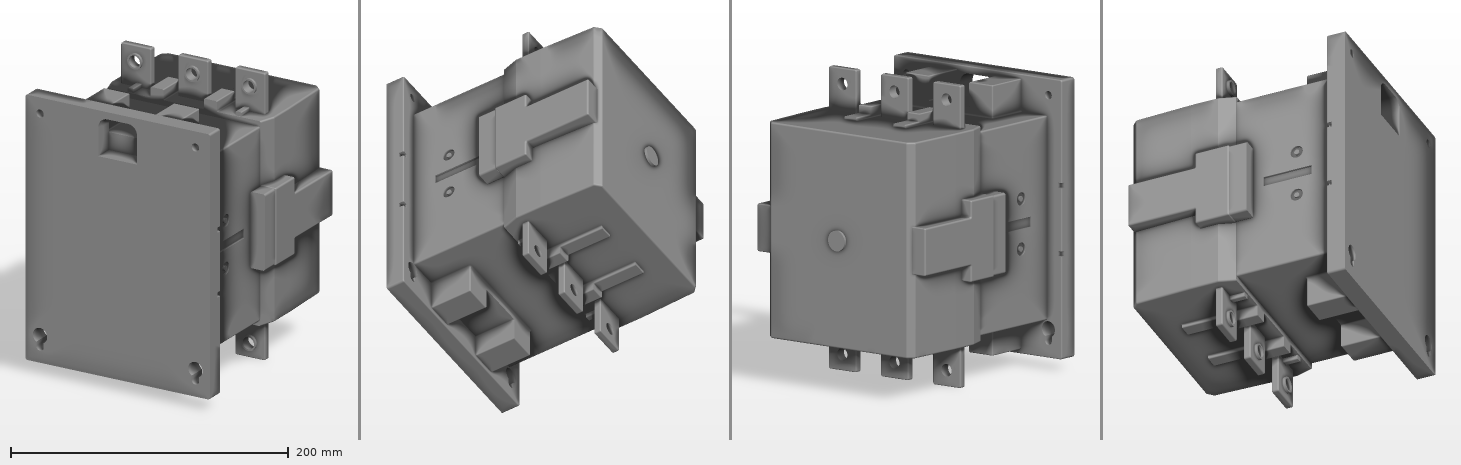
import cadquery as cq

EDGE_R = 1.66
MEDIUM_R = 1.3
SMALL_R = 0.9

FLAT = 0.2
MARGIN = 1.0

PLATE_W = 155.0
PLATE_H = 205.1
PLATE_T = 14.7
HOLE_X = 65.3
HOLE_R = 3.0
TOP_HOLE_Z = 90.1
KEYHOLE_Z = -81.7
KEYHOLE_R = 6.0
WINDOW_W = 32.5
WINDOW_BOTTOM = 67.0
WINDOW_TOP = 97.0
WINDOW_R = 7.5
NOTCH_SIZE = 4.0
NOTCH_Z = 25.0

PARTING_Y = 92.4
LOWER_W = 128.0
LOWER_H = 150.0
COIL_TOP = 99.2
COIL_SADDLE_TOP = 80.8
COIL_FRONT = 47.7
COIL_W = 80.4
COIL_GAP = 37.3
SCREW_Y = 44.6
SCREW_Z = 18.5
SCREW_OUTER_R = 4.9
SCREW_INNER_R = 2.0
SLOT_L = 38.2
SLOT_H = 7.5
SLOT_Y = 52.0
RECESS_DEPTH = 1.8

FRONT_Y = 175.2
UPPER_H = 158.5
UPPER_TOP = UPPER_H / 2
HALF_W_PARTING = 64.5
HALF_W_MAX = 68.5
HALF_W_FRONT = 66.8
TAPER_Y = 105.0
DRAFT_Y = 126.3
FRONT_CHAMFER = 4.5

POLE_PITCH = 48.0
TERMINAL_W = 25.3
TERMINAL_TIP = 111.0
TERMINAL_BACK = 105.2
TERMINAL_T = 5.5
BOSS_Z = 99.2
BOSS_R = 6.0
BOSS_H = 2.2
TERMINAL_HOLE_R = 4.7
FIN_X = 22.5
FIN_W = 10.9
FIN_TOP = 87.5
FIN_FRONT = 116.8
FIN_LOW_TOP = 81.7
FIN_LOW_FRONT_UPPER = 133.5
FIN_LOW_FRONT_LOWER = 152.5
BAR_X = 45.3
BAR_W = 4.9
BAR_BACK = 93.5
BAR_TOP = 82.5

AUX_X = PLATE_W / 2
AUX_FRONT = 172.5
AUX_STEP_Y = 119.2
AUX_HALF_H = 30.0
AUX_STEM_HALF_H = 17.5
AUX_INNER_X = LOWER_W / 2
AUX_FOOT_BACK = 78.5
AUX_FOOT_INSET = 0.9

KNOB_R = 7.5
KNOB_STEM_R = 5.8
KNOB_STEM_H = 0.9
KNOB_T = 2.0


def block(x0, x1, y0, y1, z0, z1):
    """Box given by its limits along each axis."""
    return cq.Workplane("XY").box(x1 - x0, y1 - y0, z1 - z0, centered=False).translate((x0, y0, z0))


def y_cylinder(x, z, radius, y0, y1):
    """Round bar along Y."""
    return cq.Workplane("XZ", origin=(x, y0, z)).circle(radius).extrude(y0 - y1)


def x_cylinder(y, z, radius, x0, x1):
    """Round bar along X."""
    return cq.Workplane("YZ", origin=(x0, y, z)).circle(radius).extrude(x1 - x0)


def round_edges(solid, x, width, y0, y1, z, radius, direction="not |Z"):
    """Fillet the edges centred at height z around a feature of the given width, from y0 to y1."""
    reach = width / 2 + MARGIN
    band = cq.selectors.BoxSelector((x - reach, y0, z - FLAT), (x + reach, y1, z + FLAT))
    return solid.edges(band).edges(direction).fillet(radius)


def mirror_x(shape):
    return shape.mirror("YZ")


def mirror_z(shape):
    return shape.mirror("XY")


def mounting_plate():
    plate = block(-PLATE_W / 2, PLATE_W / 2, 0, PLATE_T, -PLATE_H / 2, PLATE_H / 2)
    plate = plate.edges("|Y").fillet(EDGE_R).faces(">Y").edges().fillet(SMALL_R)
    window = block(-WINDOW_W / 2, WINDOW_W / 2, 0, PLATE_T, WINDOW_BOTTOM, WINDOW_TOP)
    plate = plate.cut(window.edges("|Y and >Z").fillet(WINDOW_R))
    for x in (-HOLE_X, HOLE_X):
        plate = plate.cut(y_cylinder(x, TOP_HOLE_Z, HOLE_R, 0, PLATE_T))
        plate = plate.cut(y_cylinder(x, KEYHOLE_Z, KEYHOLE_R, 0, PLATE_T))
        plate = plate.cut(y_cylinder(x, -TOP_HOLE_Z, HOLE_R, 0, PLATE_T))
        plate = plate.cut(block(x - HOLE_R, x + HOLE_R, 0, PLATE_T, -TOP_HOLE_Z, KEYHOLE_Z))
    for z in (-NOTCH_Z, NOTCH_Z):
        notch = block(-PLATE_W / 2, -PLATE_W / 2 + NOTCH_SIZE, PLATE_T - NOTCH_SIZE, PLATE_T,
                      z - NOTCH_SIZE / 2, z + NOTCH_SIZE / 2)
        plate = plate.cut(notch).cut(mirror_x(notch))
    return plate


def coil_terminal_block():
    """Two columns joined by a lower saddle, standing on the top of the lower housing."""
    tower = block(-COIL_W / 2, COIL_W / 2, PLATE_T, COIL_FRONT, 0, COIL_TOP)
    gap = block(-COIL_GAP / 2, COIL_GAP / 2, PLATE_T, COIL_FRONT, COIL_SADDLE_TOP, COIL_TOP)
    tower = tower.cut(gap)
    tower = tower.edges("|Z and >Y and (<X or >X)").fillet(SMALL_R)
    return tower.faces(">Z").edges("not <Y").fillet(SMALL_R)


def lower_core():
    core = block(-LOWER_W / 2, LOWER_W / 2, PLATE_T, PARTING_Y, -LOWER_H / 2, LOWER_H / 2)
    core = core.edges("|Y").fillet(MEDIUM_R)
    coil = coil_terminal_block()
    core = core.union(coil).union(mirror_z(coil))
    for side in (-1, 1):
        foot_z = side * LOWER_H / 2
        saddle_z = side * COIL_SADDLE_TOP
        core = round_edges(core, 0, COIL_W, PLATE_T + FLAT, COIL_FRONT + FLAT, foot_z, MEDIUM_R)
        core = round_edges(core, 0, COIL_GAP, PLATE_T, COIL_FRONT, saddle_z, SMALL_R, "|Y")
    return core


def side_recesses():
    """Screw heads in ring grooves and the slot between them, as a tool for the -X wall."""
    wall = -LOWER_W / 2
    floor = wall + RECESS_DEPTH
    tools = block(wall, floor, SLOT_Y - SLOT_L / 2, SLOT_Y + SLOT_L / 2, -SLOT_H / 2, SLOT_H / 2)
    for z in (-SCREW_Z, SCREW_Z):
        ring = x_cylinder(SCREW_Y, z, SCREW_OUTER_R, wall, floor)
        tools = tools.union(ring.cut(x_cylinder(SCREW_Y, z, SCREW_INNER_R, wall, floor)))
    return tools


def base_housing():
    recesses = side_recesses()
    core = lower_core().cut(recesses).cut(mirror_x(recesses))
    return mounting_plate().union(core)


def upper_shell():
    half = [
        (HALF_W_PARTING, PARTING_Y),
        (HALF_W_MAX, TAPER_Y),
        (HALF_W_MAX, DRAFT_Y),
        (HALF_W_FRONT, FRONT_Y),
    ]
    outline = half + [(-x, y) for x, y in reversed(half)]
    shell = cq.Workplane("XY", origin=(0, 0, -UPPER_TOP)).polyline(outline).close().extrude(UPPER_H)
    shell = shell.edges("|Z and >Y").chamfer(FRONT_CHAMFER)
    front_zone = cq.selectors.BoxSelector(
        (-PLATE_W, FRONT_Y - 2 * FRONT_CHAMFER, -UPPER_H), (PLATE_W, FRONT_Y + FLAT, UPPER_H)
    )
    shell = shell.edges(front_zone).edges("|Z").fillet(EDGE_R)
    return shell.faces("|Z").edges("not <Y").fillet(MEDIUM_R)


def fin(low_front):
    """Barrier between two poles: a tall part at the parting face and a low part ahead of it."""
    x0, x1 = FIN_X - FIN_W / 2, FIN_X + FIN_W / 2
    tall = block(x0, x1, PARTING_Y, FIN_FRONT, 0, FIN_TOP)
    tall = tall.edges(">Z and (not <Y)").fillet(SMALL_R)
    low = block(x0, x1, PARTING_Y, low_front, 0, FIN_LOW_TOP)
    low = low.edges(">Z and |Y").fillet(SMALL_R)
    return tall.union(low)


def terminal(x):
    back, front = TERMINAL_BACK, TERMINAL_BACK + TERMINAL_T
    tab = block(x - TERMINAL_W / 2, x + TERMINAL_W / 2, back, front, 0, TERMINAL_TIP)
    tab = tab.edges(">Z and |Y").fillet(MEDIUM_R)
    tab = tab.faces(">Z or <X or >X").edges().fillet(SMALL_R)
    tab = tab.union(y_cylinder(x, BOSS_Z, BOSS_R, back - BOSS_H, back))
    return tab.cut(y_cylinder(x, BOSS_Z, TERMINAL_HOLE_R, back - BOSS_H, front))


def locating_bar():
    bar = block(BAR_X - BAR_W / 2, BAR_X + BAR_W / 2, BAR_BACK, TERMINAL_BACK, 0, BAR_TOP)
    return bar.edges(">Z and |Y").fillet(SMALL_R)


def auxiliary_block():
    """T-shaped block on the +X side with a smaller foot reaching behind the parting face."""
    half = [
        (PARTING_Y, AUX_HALF_H),
        (AUX_STEP_Y, AUX_HALF_H),
        (AUX_STEP_Y, AUX_STEM_HALF_H),
        (AUX_FRONT, AUX_STEM_HALF_H),
    ]
    outline = half + [(y, -z) for y, z in reversed(half)]
    tee = cq.Workplane("YZ", origin=(AUX_INNER_X, 0, 0)).polyline(outline).close()
    tee = tee.extrude(AUX_X - AUX_INNER_X).edges("|X").fillet(SMALL_R)
    tee = tee.faces(">X").edges().fillet(MEDIUM_R)
    half_foot = AUX_HALF_H - AUX_FOOT_INSET / 2
    foot = block(AUX_INNER_X, AUX_X - AUX_FOOT_INSET, AUX_FOOT_BACK, PARTING_Y, -half_foot, half_foot)
    return tee.union(foot.edges("|Y").fillet(EDGE_R))


def knob():
    stem_front = FRONT_Y + KNOB_STEM_H
    stem = y_cylinder(0, 0, KNOB_STEM_R, FRONT_Y, stem_front)
    return stem.union(y_cylinder(0, 0, KNOB_R, stem_front, stem_front + KNOB_T))


def contact_head():
    head = upper_shell()
    for low_front, flip in ((FIN_LOW_FRONT_UPPER, False), (FIN_LOW_FRONT_LOWER, True)):
        side = fin(low_front).union(locating_bar())
        details = side.union(mirror_x(side))
        for pole in (-1, 0, 1):
            details = details.union(terminal(pole * POLE_PITCH))
        head = head.union(mirror_z(details) if flip else details)
        foot_z = -UPPER_TOP if flip else UPPER_TOP
        for x in (-FIN_X, FIN_X):
            head = round_edges(head, x, FIN_W, PARTING_Y, FRONT_Y, foot_z, SMALL_R, "|Y")
    auxiliary = auxiliary_block()
    return head.union(auxiliary).union(mirror_x(auxiliary)).union(knob())


base = base_housing()
head = contact_head()
result = cq.Compound.makeCompound([base.val(), head.val()])